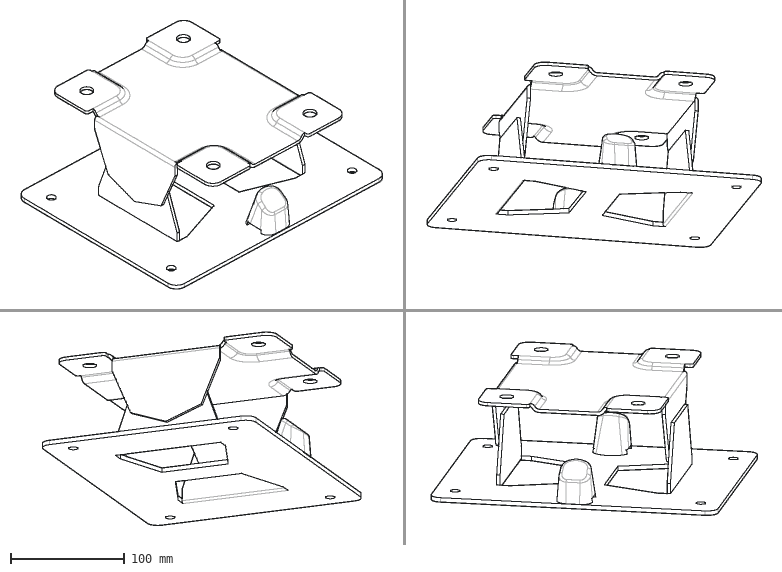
import cadquery as cq
import math

base_x = 204.0
base_y = 258.0
base_thick = 4.0
base_corner_radius = 10.0
base_hole_dia = 8.3
base_hole_span_x = 153.3
base_hole_span_y = 221.0

sheet = 3.0
tab_bend_radius = 2.0
tab_inner_y = 75.0
tab_top_z = 64.0
tab_shoulder_z = 13.2
tab_foot_half = 50.3
tab_top_half = 31.7

bracket_top_z = 94.0
bracket_y = -4.0
ear_step = 5.0
ear_half_x = 104.0
ear_half_y = 82.0
ear_outer_radius = 10.0
ear_side_radius = 2.5
ear_hole_dia = 12.0
ear_hole_span_x = 161.8
ear_hole_span_y = 118.2
ramp_run = 8.5
ramp_foot_x = 48.2
ramp_foot_y = 26.0
ramp_foot_radius = 20.0
tray_half_x = 99.8
tray_half_y = 74.8

flange_half = 51.3
flange_shoulder_z = 76.4
flange_knee_half = 33.8
flange_knee_z = 36.0
front_flange_tip_z = 24.0
back_flange_bottom_z = 25.8
back_flange_radius = 10.0

bumper_outer_x = 101.5
bumper_inner_x = 65.5
bumper_half_y = 16.0
bumper_corner_radius = 9.8
bumper_bulge_radius = 20.6
bumper_draft = 0.078
bumper_inner_lean = 0.36
bumper_loft_height = 43.9
bumper_slant_x = 99.8
bumper_slant_z = 24.8
bumper_slant_angle = 39.0
bumper_edge_radius = 3.0
slot_outer_x = 92.4
slot_inner_x = 74.3
slot_height = 3.5

tray_top_z = bracket_top_z - ear_step
tray_bottom_z = tray_top_z - sheet
ear_inner_x = ramp_foot_x + ramp_run
ear_inner_y = ramp_foot_y + ramp_run
ear_inner_radius = ramp_foot_radius - ramp_run
ramp_centre_x = ramp_foot_x + ramp_foot_radius
ramp_centre_y = ramp_foot_y + ramp_foot_radius
bend_radius = (ramp_run ** 2 + ear_step ** 2) / (4 * ear_step)
bend_angle = 2 * math.atan(ear_step / ramp_run)


def signed_pairs(half_x, half_y):
    """Points at the four corners of a rectangle about the origin."""
    return [(sx * half_x, sy * half_y) for sx in (-1, 1) for sy in (-1, 1)]


def tab(side):
    """Upright tab at the +Y (side = 1) or -Y (side = -1) end."""
    outline = [
        (-tab_foot_half, 0),
        (tab_foot_half, 0),
        (tab_foot_half, tab_shoulder_z),
        (tab_top_half, tab_top_z),
        (-tab_top_half, tab_top_z),
        (-tab_foot_half, tab_shoulder_z),
    ]
    blank = (
        cq.Workplane("XZ", origin=(0, side * tab_inner_y, 0))
        .polyline(outline).close().extrude(-side * sheet)
    )
    inner_face = "<Y" if side > 0 else ">Y"
    return blank.faces(inner_face).edges("<Z").fillet(tab_bend_radius)


def tab_window(side):
    """Opening left in the plate where the tab was bent up, reaching out to its outer face."""
    fold = side * (tab_inner_y + sheet)
    shoulder = side * (tab_inner_y - (tab_shoulder_z - base_thick))
    end = side * (tab_inner_y - (tab_top_z - base_thick))
    outline = [
        (-tab_foot_half, fold),
        (tab_foot_half, fold),
        (tab_foot_half, shoulder),
        (tab_top_half, end),
        (-tab_top_half, end),
        (-tab_foot_half, shoulder),
    ]
    return cq.Workplane("XY").polyline(outline).close().extrude(base_thick)


def make_base():
    plate = (
        cq.Workplane("XY").rect(base_x, base_y).extrude(base_thick)
        .edges("|Z").fillet(base_corner_radius)
        .faces(">Z").workplane()
        .rect(base_hole_span_x, base_hole_span_y, forConstruction=True).vertices()
        .hole(base_hole_dia)
    )
    for side in (-1, 1):
        plate = plate.cut(tab_window(side)).union(tab(side))
    return plate


def ramp_profile(plane, foot):
    """S-shaped sheet section that climbs from the tray (at foot) to the ear."""
    lower_centre_z = tray_top_z + bend_radius
    upper_centre_z = bracket_top_z - bend_radius
    lower_outside = bend_radius + sheet
    upper_inside = bend_radius - sheet

    def lower(radius, angle):
        return (foot + radius * math.sin(angle), lower_centre_z - radius * math.cos(angle))

    def upper(radius, angle):
        return (foot + ramp_run - radius * math.sin(angle), upper_centre_z + radius * math.cos(angle))

    half = bend_angle / 2
    return (
        plane.moveTo(*lower(bend_radius, 0))
        .threePointArc(lower(bend_radius, half), lower(bend_radius, bend_angle))
        .threePointArc(upper(bend_radius, half), upper(bend_radius, 0))
        .lineTo(*upper(upper_inside, 0))
        .threePointArc(upper(upper_inside, half), upper(upper_inside, bend_angle))
        .threePointArc(lower(lower_outside, half), lower(lower_outside, 0))
        .close()
    )


def ear():
    """Raised ear and its ramp for the +X +Y corner, about the bracket centre."""
    pad = (
        cq.Workplane("XY", origin=(0, 0, bracket_top_z - sheet))
        .moveTo(ear_inner_x, ear_inner_y).lineTo(ear_half_x, ear_inner_y)
        .lineTo(ear_half_x, ear_half_y).lineTo(ear_inner_x, ear_half_y).close().extrude(sheet)
    )
    pad = pad.edges("|Z and <X and <Y").fillet(ear_inner_radius)
    pad = pad.edges("|Z and >X and >Y").fillet(ear_outer_radius)
    pad = pad.edges("|Z and >X and <Y").fillet(ear_side_radius)
    pad = pad.edges("|Z and <X and >Y").fillet(ear_side_radius)
    pad = pad.cut(
        cq.Workplane("XY", origin=(ear_hole_span_x / 2, ear_hole_span_y / 2, 0))
        .circle(ear_hole_dia / 2).extrude(bracket_top_z)
    )
    ramp_along_y = ramp_profile(
        cq.Workplane("XZ", origin=(0, ramp_centre_y, 0)), ramp_foot_x
    ).extrude(ramp_centre_y - tray_half_y)
    ramp_along_x = ramp_profile(
        cq.Workplane("YZ", origin=(ramp_centre_x, 0, 0)), ramp_foot_y
    ).extrude(tray_half_x - ramp_centre_x)
    ramp_corner = ramp_profile(
        cq.Workplane("XZ", origin=(ramp_centre_x, ramp_centre_y, 0)), -ramp_foot_radius
    ).revolve(90, (0, 0), (0, 1))
    return pad.union(ramp_along_y).union(ramp_corner).union(ramp_along_x)


def tray():
    """Sunken sheet with a rounded corner left out for every ear."""
    sheet_plate = (
        cq.Workplane("XY", origin=(0, 0, tray_bottom_z))
        .rect(2 * tray_half_x, 2 * tray_half_y).extrude(sheet)
    )
    size_x = 2 * (ear_half_x - ramp_foot_x)
    size_y = 2 * (ear_half_y - ramp_foot_y)
    corners = (
        cq.Workplane("XY", origin=(0, 0, tray_bottom_z))
        .pushPoints(signed_pairs(ear_half_x, ear_half_y))
        .rect(size_x, size_y).extrude(sheet)
        .edges("|Z").fillet(ramp_foot_radius)
    )
    return sheet_plate.cut(corners)


def flange_blank(side, outline):
    """Hanging flange of the given outline, with a rounded bend along its top outer edge."""
    blank = (
        cq.Workplane("XZ", origin=(0, side * tray_half_y, 0))
        .polyline(outline).close().extrude(-side * sheet)
    )
    bend = (
        cq.Workplane("YZ", origin=(-flange_half, side * tray_half_y, tray_bottom_z))
        .lineTo(side * sheet, 0)
        .radiusArc((0, sheet), -side * sheet).close()
        .extrude(2 * flange_half)
    )
    return blank.union(bend)


def front_flange():
    """Flange on the -Y side, ending in a shallow point."""
    outline = [
        (-flange_half, tray_bottom_z),
        (-flange_half, flange_shoulder_z),
        (-flange_knee_half, flange_knee_z),
        (0, front_flange_tip_z),
        (flange_knee_half, flange_knee_z),
        (flange_half, flange_shoulder_z),
        (flange_half, tray_bottom_z),
    ]
    return flange_blank(-1, outline)


def back_flange():
    """Flange on the +Y side, ending in a straight edge with rounded corners."""
    lean = (flange_half - flange_knee_half) / (flange_shoulder_z - flange_knee_z)
    bottom_half = flange_half - lean * (flange_shoulder_z - back_flange_bottom_z)
    outline = [
        (-flange_half, tray_bottom_z),
        (-flange_half, flange_shoulder_z),
        (-bottom_half, back_flange_bottom_z),
        (bottom_half, back_flange_bottom_z),
        (flange_half, flange_shoulder_z),
        (flange_half, tray_bottom_z),
    ]
    return flange_blank(1, outline).faces("<Z").edges("|Y").fillet(back_flange_radius)


def make_bracket():
    body = tray().union(front_flange()).union(back_flange())
    one_ear = ear()
    ears_right = one_ear.union(one_ear.mirror("XZ"))
    body = body.union(ears_right).union(ears_right.mirror("YZ"))
    return body.translate((0, bracket_y, 0))


def bumper_section(height):
    """Cross-section of the -X bumper at a height above the base, rounded and bulging on the inner side."""
    shrink = bumper_draft * height
    half_y = bumper_half_y - shrink
    outer_r = bumper_corner_radius - shrink
    inner_r = bumper_corner_radius
    outer_x = -bumper_outer_x + shrink
    inner_x = -bumper_inner_x - bumper_inner_lean * height

    inner_corner_y = half_y - inner_r
    bulge_centre_x = inner_x - bumper_bulge_radius
    centre_gap = bumper_bulge_radius - inner_r
    corner_offset = math.sqrt(centre_gap ** 2 - inner_corner_y ** 2)
    corner_x = bulge_centre_x + corner_offset
    reach = bumper_bulge_radius / centre_gap
    tangent_x = bulge_centre_x + corner_offset * reach
    tangent_y = inner_corner_y * reach
    section = (
        cq.Workplane("XY", origin=(0, 0, base_thick + height))
        .moveTo(outer_x, outer_r - half_y)
        .radiusArc((outer_x + outer_r, -half_y), -outer_r)
        .lineTo(corner_x, -half_y)
        .radiusArc((tangent_x, -tangent_y), -inner_r)
        .radiusArc((tangent_x, tangent_y), -bumper_bulge_radius)
        .radiusArc((corner_x, half_y), -inner_r)
        .lineTo(outer_x + outer_r, half_y)
        .radiusArc((outer_x, half_y - outer_r), -outer_r)
        .close()
    )
    return section.val()


def make_bumper():
    """Bumper at the -X edge of the base."""
    sections = [bumper_section(0), bumper_section(bumper_loft_height)]
    post = cq.Workplane(cq.Solid.makeLoft(sections, True))
    slant_plane = cq.Workplane("XY").transformed(
        offset=(-bumper_slant_x, 0, bumper_slant_z), rotate=(0, -bumper_slant_angle, 0)
    )
    above_slant = slant_plane.rect(base_x, base_x).extrude(base_x)
    post = post.cut(above_slant)
    post = post.faces(">Z").edges().fillet(bumper_edge_radius)
    slot_length = slot_outer_x - slot_inner_x
    slot_centre_x = -(slot_outer_x + slot_inner_x) / 2
    slot = (
        cq.Workplane("XY", origin=(slot_centre_x, 0, base_thick))
        .rect(slot_length, 2 * bumper_half_y).extrude(slot_height)
    )
    return post.cut(slot)


base = make_base()
bracket = make_bracket()
bumper = make_bumper()
bumpers = [bumper.val(), bumper.mirror("YZ").val()]

result = cq.Compound.makeCompound([base.val(), bracket.val(), *bumpers])